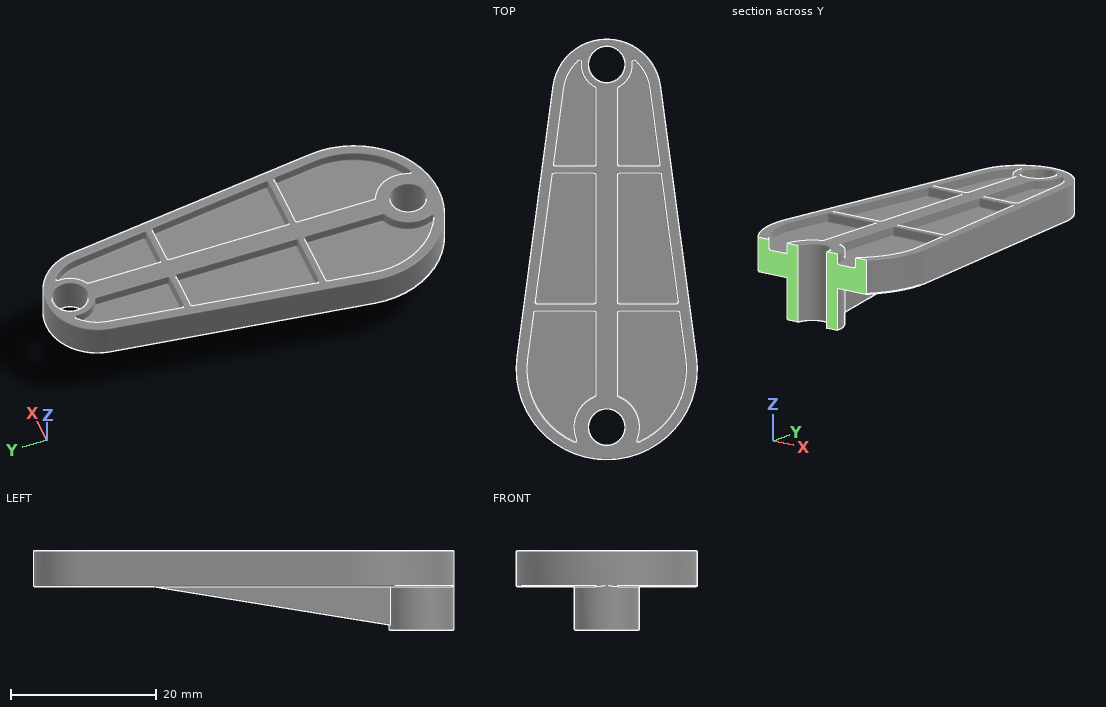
import cadquery as cq
import math

plate_length = 58.0
plate_thickness = 5.0
large_end_radius = 12.5
small_end_radius = 7.5
edge_radius = 0.2

bore_diameter = 5.0
boss_radius = 4.5
small_collar_radius = 3.5

boss_height = 6.0
gusset_width = 3.0
gusset_start_from_small_end = 16.5

pocket_depth = 1.5
pocket_corner_radius = 0.25
rim_width = 1.5
spine_width = 3.0
cross_rib_width = 1.0
cross_ribs_from_small_end = (18.0, 37.0)

boss_y = 0.0
large_end_y = boss_y - boss_radius + large_end_radius
small_tip_y = boss_y - boss_radius + plate_length
small_end_y = small_tip_y - small_end_radius
small_bore_y = small_tip_y - small_collar_radius


def outline(inset, z, height):
    """Solid with the plate outline moved inwards by inset, its base at z."""
    large_radius = large_end_radius - inset
    small_radius = small_end_radius - inset
    tilt = math.asin((large_radius - small_radius) / (small_end_y - large_end_y))
    large_x = large_radius * math.cos(tilt)
    large_y = large_end_y + large_radius * math.sin(tilt)
    small_x = small_radius * math.cos(tilt)
    small_y = small_end_y + small_radius * math.sin(tilt)
    return (
        cq.Workplane("XY", origin=(0, 0, z))
        .moveTo(large_x, large_y)
        .lineTo(small_x, small_y)
        .threePointArc((0, small_end_y + small_radius), (-small_x, small_y))
        .lineTo(-large_x, large_y)
        .threePointArc((0, large_end_y - large_radius), (large_x, large_y))
        .close()
        .extrude(height)
    )


def cylinder(y, radius, z, height):
    """Upright cylinder on the plate centreline."""
    return cq.Workplane("XY", origin=(0, y, z)).circle(radius).extrude(height)


def pockets():
    """The six pocket volumes, rounded where the walls meet the floor."""
    floor_z = plate_thickness - pocket_depth
    mid_z = floor_z + pocket_depth / 2
    spine = cq.Workplane("XY", origin=(0, small_end_y / 2, mid_z)).box(
        spine_width, 2 * plate_length, pocket_depth
    )
    volume = outline(rim_width, floor_z, pocket_depth).cut(spine)
    for distance in cross_ribs_from_small_end:
        rib = cq.Workplane("XY", origin=(0, small_tip_y - distance, mid_z)).box(
            2 * large_end_radius, cross_rib_width, pocket_depth
        )
        volume = volume.cut(rib)
    volume = volume.cut(cylinder(boss_y, boss_radius, floor_z, pocket_depth))
    volume = volume.cut(cylinder(small_bore_y, small_collar_radius, floor_z, pocket_depth))
    volume = volume.edges("|Z").fillet(pocket_corner_radius)
    return volume.faces("<Z").edges().fillet(edge_radius)


def boss():
    """Boss under the large end, rounded at its lower edge."""
    post = cylinder(boss_y, boss_radius, -boss_height, boss_height + plate_thickness / 2)
    return post.faces("<Z").edges().fillet(edge_radius)


def gusset():
    """Tapered web running from the underside of the plate down to the boss."""
    start_y = small_tip_y - gusset_start_from_small_end
    web = (
        cq.Workplane("YZ")
        .moveTo(start_y, 0)
        .lineTo(boss_y, -boss_height)
        .lineTo(boss_y, 0)
        .close()
        .extrude(gusset_width / 2, both=True)
    )
    sloping_edges = web.edges("not(|X or |Y or |Z)")
    return sloping_edges.fillet(edge_radius)


def build():
    plate = outline(0, 0, plate_thickness).faces("<Z").edges().fillet(edge_radius)
    body = plate.union(boss()).union(gusset())
    for y in (boss_y, small_bore_y):
        bore = cylinder(y, bore_diameter / 2, -boss_height, boss_height + plate_thickness)
        body = body.cut(bore)
    body = body.cut(pockets())
    return body.faces(">Z").edges().fillet(edge_radius)


result = build()